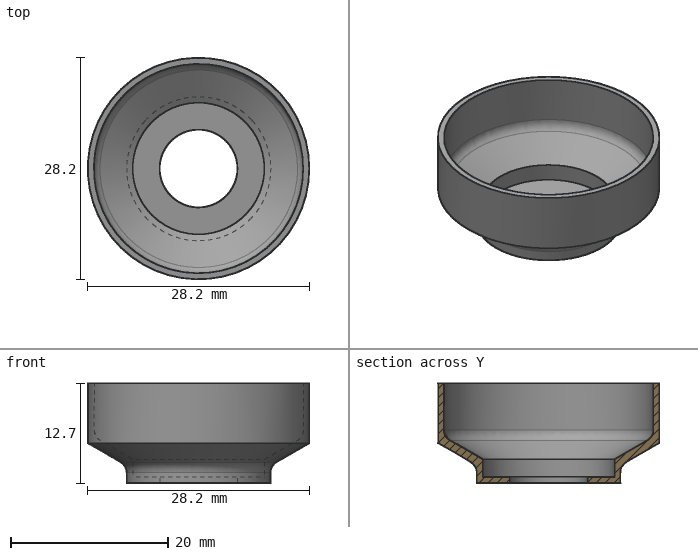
import cadquery as cq
import math

outer_radius = 14.1
height = 12.7
wall = 0.8
cone_slope = math.tan(math.radians(30))
cone_top = 5.07
neck_radius = 9.15
bore_radius = 4.93
inner_cone_base = 3.05
blend_radius = 1.5

neck_top = cone_top - (outer_radius - neck_radius) * cone_slope
inner_radius = outer_radius - wall
recess_radius = neck_radius - wall
inner_cone_top = inner_cone_base + (inner_radius - recess_radius) * cone_slope


def revolved(profile):
    """Revolve (radius, height) points about the Z axis."""
    return cq.Workplane("XZ").polyline(profile).close().revolve(360, (0, 0), (0, 1))


def circle_at(radius, z):
    """Select the circular edge of a given radius and height."""
    tolerance = 0.003
    reach = radius + tolerance
    return cq.selectors.BoxSelector(
        (-reach, -reach, z - tolerance), (reach, reach, z + tolerance), boundingbox=True
    )


body = revolved([
    (0, 0),
    (neck_radius, 0),
    (neck_radius, neck_top),
    (outer_radius, cone_top),
    (outer_radius, height),
    (0, height),
])
body = body.edges(circle_at(neck_radius, neck_top)).fillet(blend_radius)

cavity = revolved([
    (0, wall),
    (recess_radius, wall),
    (recess_radius, inner_cone_base),
    (inner_radius, inner_cone_top),
    (inner_radius, height),
    (0, height),
])
cavity = cavity.edges(circle_at(inner_radius, inner_cone_top)).fillet(blend_radius)

bore = cq.Workplane("XY").circle(bore_radius).extrude(height)

result = body.cut(cavity).cut(bore)